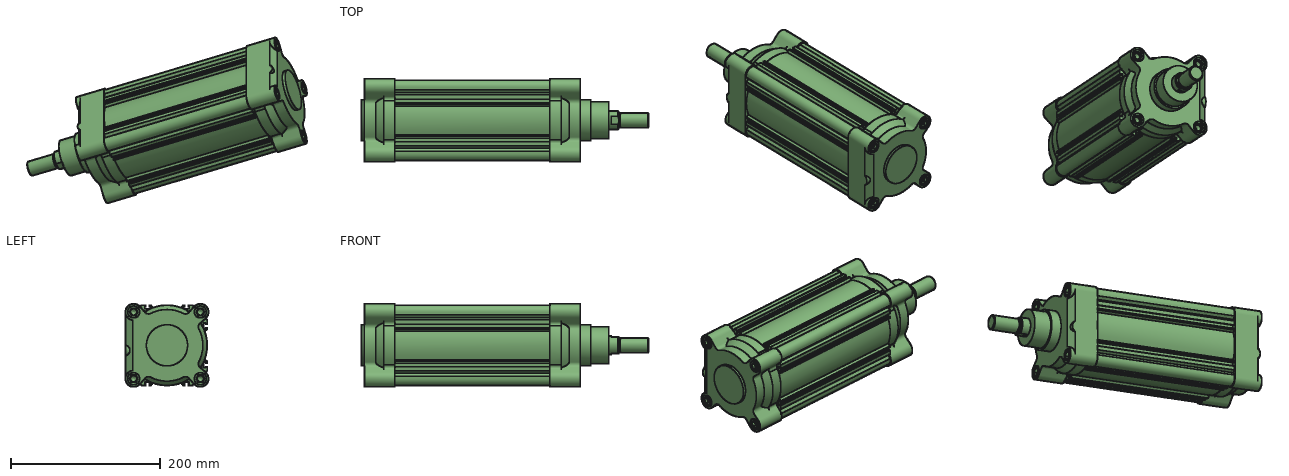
import cadquery as cq
import math


COVER_LENGTH = 40.5
FACE_TO_FACE = 288.0
BARREL_LENGTH = FACE_TO_FACE - 2 * COVER_LENGTH

BOSS_PITCH = 89.0
BOSS_RADIUS = 11.0
BOSS_OFFSET = BOSS_PITCH / 2
HALF_WIDTH = BOSS_OFFSET + BOSS_RADIUS
FLANK_ANGLE = math.radians(48)
QUARTERS = 4
NECK_RADIUS = 47.8
NECK_ROUND_END = 22.6
NECK_HOLLOW_END = 29.0
NECK_LENGTH = 15.0
COLLAR_RADIUS = 53.7
COLLAR_ROUND_END = 26.0
COLLAR_HOLLOW_END = 31.8
COLLAR_LENGTH = 15.0
CONE_END = COVER_LENGTH - COLLAR_LENGTH

SLOPE_DEPTH = 10.0
SLOPE_LENGTH = 6.5
PORT_BOSS_RADIUS = 9.0
PORT_BOSS_X = 11.5
PORT_BOSS_Z = -6.7
PORT_SIDE_THICKNESS = 15.0

SCREW_HEAD_DIAMETER = 16.0
SCREW_RECESS = 0.5
HEX_ACROSS_FLATS = 10.0
HEX_DEPTH = 5.0
HEX_TIP_RADIUS = 4.3
HEX_TIP_LENGTH = 2.5

SPIGOT_RADIUS = 27.5
REAR_SPIGOT_LENGTH = 4.0
FRONT_SPIGOT_LENGTH = 14.0
NOSE_RADIUS = 24.8
NOSE_END = 38.0

ROD_RADIUS = 12.5
ROD_EXPOSED = 13.0
ROD_CHAMFER = 1.0
ROD_ACROSS_FLATS = 22.4
ROD_FLAT_GAP = 3.3
THREAD_RADIUS = 10.0
THREAD_LENGTH = 40.0
THREAD_CHAMFER = 1.2
RELIEF_RADIUS = 8.7
RELIEF_LENGTH = 2.2

BARREL_RADIUS = 53.7
BARREL_HALF_WIDTH = BARREL_RADIUS
BARREL_CORNER_RADIUS = BARREL_HALF_WIDTH - BOSS_OFFSET
GROOVE_OUTER = 41.0
GROOVE_VALLEY = 37.0
GROOVE_INNER = 34.0
GROOVE_DEPTH = 3.5
SLOT_OUTER = 28.4
SLOT_INNER = 23.6
SLOT_UNDERCUT = 1.1
SLOT_LIP = 2.3
SLOT_DEPTH = 4.7
RIB_TOP = 21.4
RIB_FOOT = 18.9


def turn(point, count):
    """Turn a (y, z) point about the X axis by a number of quarter turns."""
    y, z = point
    for _ in range(count):
        y, z = -z, y
    return (y, z)


def mirrored(point):
    """Mirror a (y, z) point across the Y = 0 plane."""
    return (-point[0], point[1])


def cylinder_x(radius, length, x=0.0):
    return cq.Workplane("YZ", origin=(x, 0, 0)).circle(radius).extrude(length)


def corner_points():
    return [(y, z) for y in (-BOSS_OFFSET, BOSS_OFFSET) for z in (-BOSS_OFFSET, BOSS_OFFSET)]



def barrel_side():
    """Outline points of the +Y half of the +Z side, from the corner to the round middle."""
    top = BARREL_HALF_WIDTH
    lip = top - SLOT_LIP
    floor = top - SLOT_DEPTH
    foot = math.sqrt(BARREL_RADIUS ** 2 - RIB_FOOT ** 2)
    return [
        (BOSS_OFFSET, top),
        (GROOVE_OUTER, top),
        (GROOVE_VALLEY, top - GROOVE_DEPTH),
        (GROOVE_INNER, top),
        (SLOT_OUTER, top),
        (SLOT_OUTER, lip),
        (SLOT_OUTER + SLOT_UNDERCUT, lip),
        (SLOT_OUTER + SLOT_UNDERCUT, floor),
        (SLOT_INNER - SLOT_UNDERCUT, floor),
        (SLOT_INNER - SLOT_UNDERCUT, lip),
        (SLOT_INNER, lip),
        (SLOT_INNER, top),
        (RIB_TOP, top),
        (RIB_FOOT, foot),
    ]


def make_barrel():
    half = barrel_side()
    other_half = [mirrored(point) for point in reversed(half)]
    corner_mid = -BOSS_OFFSET - BARREL_CORNER_RADIUS * math.sqrt(0.5)
    outline = cq.Workplane("YZ", origin=(COVER_LENGTH, 0, 0)).moveTo(*half[0])
    for side in range(QUARTERS):
        for point in half[1:]:
            outline = outline.lineTo(*turn(point, side))
        outline = outline.threePointArc(turn((0, BARREL_RADIUS), side), turn(other_half[0], side))
        for point in other_half[1:]:
            outline = outline.lineTo(*turn(point, side))
        outline = outline.threePointArc(turn((corner_mid, -corner_mid), side), turn(half[0], side + 1))
    return outline.close().extrude(BARREL_LENGTH)



def make_core(x, length, round_radius, round_end, hollow_end):
    """Four-armed core: boss flanks tangent to the bosses, running smoothly into hollows."""
    tangent = (
        BOSS_OFFSET - BOSS_RADIUS * math.sin(FLANK_ANGLE),
        BOSS_OFFSET + BOSS_RADIUS * math.cos(FLANK_ANGLE),
    )
    hollow_start = (round_end, math.sqrt(round_radius ** 2 - round_end ** 2))
    hollow_stop = (hollow_end, tangent[1] - (tangent[0] - hollow_end) * math.tan(FLANK_ANGLE))
    width = hollow_stop[0] - hollow_start[0]
    rise = hollow_stop[1] - hollow_start[1]
    hollow_radius = math.hypot(width, rise) / 2 / math.sin(FLANK_ANGLE - math.atan2(rise, width))

    outline = cq.Workplane("YZ", origin=(x, 0, 0)).moveTo(*tangent)
    for side in range(QUARTERS):
        outline = (
            outline
            .lineTo(*turn(hollow_stop, side))
            .radiusArc(turn(hollow_start, side), hollow_radius)
            .threePointArc(turn((0, round_radius), side), turn(mirrored(hollow_start), side))
            .radiusArc(turn(mirrored(hollow_stop), side), hollow_radius)
            .lineTo(*turn(mirrored(tangent), side))
            .lineTo(*turn(tangent, side + 1))
        )
    return outline.close().extrude(length)


def make_cone():
    """Cone that joins the round sides of the neck to those of the collar."""
    return (
        cq.Workplane("XY")
        .polyline([
            (NECK_LENGTH, 0),
            (NECK_LENGTH, NECK_RADIUS),
            (CONE_END, COLLAR_RADIUS),
            (CONE_END, 0),
        ])
        .close()
        .revolve(360, (0, 0, 0), (1, 0, 0))
    )


def make_port_side():
    """Flat +Y side with the slope at the outer face and the port boss standing out of it."""
    inner_face = HALF_WIDTH - PORT_SIDE_THICKNESS
    side = (
        cq.Workplane("XY", origin=(0, 0, -BOSS_OFFSET))
        .polyline([
            (0, inner_face),
            (0, HALF_WIDTH - SLOPE_DEPTH),
            (SLOPE_LENGTH, HALF_WIDTH),
            (COVER_LENGTH, HALF_WIDTH),
            (COVER_LENGTH, inner_face),
        ])
        .close()
        .extrude(BOSS_PITCH)
    )
    port_boss = (
        cq.Workplane("XZ", origin=(PORT_BOSS_X, HALF_WIDTH, PORT_BOSS_Z))
        .circle(PORT_BOSS_RADIUS)
        .extrude(PORT_SIDE_THICKNESS)
    )
    return side.union(port_boss)


def make_port_clearance():
    """Envelope that the cover core stays inside, following the slope on the port side."""
    return (
        cq.Workplane("XY", origin=(0, 0, -HALF_WIDTH))
        .polyline([
            (0, -HALF_WIDTH),
            (0, HALF_WIDTH - SLOPE_DEPTH),
            (SLOPE_LENGTH, HALF_WIDTH),
            (COVER_LENGTH, HALF_WIDTH),
            (COVER_LENGTH, -HALF_WIDTH),
        ])
        .close()
        .extrude(2 * HALF_WIDTH)
    )


def screw_recess(y, z):
    """Cut for one screw: shallow head recess, hex socket and its conical bottom."""
    head = cq.Workplane("YZ", origin=(0, y, z)).circle(SCREW_HEAD_DIAMETER / 2).extrude(SCREW_RECESS)
    corners = HEX_ACROSS_FLATS / math.cos(math.pi / 6)
    socket = cq.Workplane("YZ", origin=(0, y, z)).polygon(6, corners).extrude(HEX_DEPTH)
    tip = cq.Solid.makeCone(
        HEX_TIP_RADIUS, 0, HEX_TIP_LENGTH, cq.Vector(HEX_DEPTH, y, z), cq.Vector(1, 0, 0)
    )
    return head.union(socket).union(cq.Workplane(tip))


def make_cover():
    """Cover shared by both ends, outer face at X = 0 and barrel face at X = COVER_LENGTH."""
    neck = make_core(0, COVER_LENGTH, NECK_RADIUS, NECK_ROUND_END, NECK_HOLLOW_END)
    collar = make_core(CONE_END, COLLAR_LENGTH, COLLAR_RADIUS, COLLAR_ROUND_END, COLLAR_HOLLOW_END)
    bosses = cq.Workplane("YZ").pushPoints(corner_points()).circle(BOSS_RADIUS).extrude(COVER_LENGTH)
    core = neck.union(make_cone()).union(collar).intersect(make_port_clearance())
    cover = core.union(make_port_side()).union(bosses)
    for y, z in corner_points():
        cover = cover.cut(screw_recess(y, z))
    return cover


def make_rear_cover():
    spigot = cylinder_x(SPIGOT_RADIUS, REAR_SPIGOT_LENGTH, -REAR_SPIGOT_LENGTH)
    return make_cover().union(spigot)


def make_front_cover():
    cover = make_cover().mirror("YZ").translate((FACE_TO_FACE, 0, 0))
    spigot = cylinder_x(SPIGOT_RADIUS, FRONT_SPIGOT_LENGTH, FACE_TO_FACE)
    nose = cylinder_x(NOSE_RADIUS, NOSE_END, FACE_TO_FACE)
    rod_bore = cylinder_x(ROD_RADIUS, COVER_LENGTH + NOSE_END, FACE_TO_FACE - COVER_LENGTH)
    return cover.union(spigot).union(nose).cut(rod_bore)



def make_rod():
    nose_tip = FACE_TO_FACE + NOSE_END
    shoulder = nose_tip + ROD_EXPOSED
    start = FACE_TO_FACE - COVER_LENGTH
    rod = cylinder_x(ROD_RADIUS, shoulder - start, start).faces(">X").chamfer(ROD_CHAMFER)
    flat_start = nose_tip + ROD_FLAT_GAP
    flats = (
        cq.Workplane("XY")
        .box(shoulder - flat_start, 2 * ROD_RADIUS, 2 * ROD_RADIUS, centered=(False, True, True))
        .cut(cq.Workplane("XY").box(2 * ROD_EXPOSED, 2 * ROD_RADIUS, ROD_ACROSS_FLATS))
        .translate((flat_start, 0, 0))
    )
    relief = cylinder_x(RELIEF_RADIUS, RELIEF_LENGTH, shoulder)
    thread = (
        cylinder_x(THREAD_RADIUS, THREAD_LENGTH - RELIEF_LENGTH, shoulder + RELIEF_LENGTH)
        .faces(">X")
        .chamfer(THREAD_CHAMFER)
    )
    return rod.cut(flats).union(relief).union(thread)


barrel = make_barrel()
rear_cover = make_rear_cover()
front_cover = make_front_cover()
rod = make_rod()

result = cq.Compound.makeCompound([rear_cover.val(), barrel.val(), front_cover.val(), rod.val()])